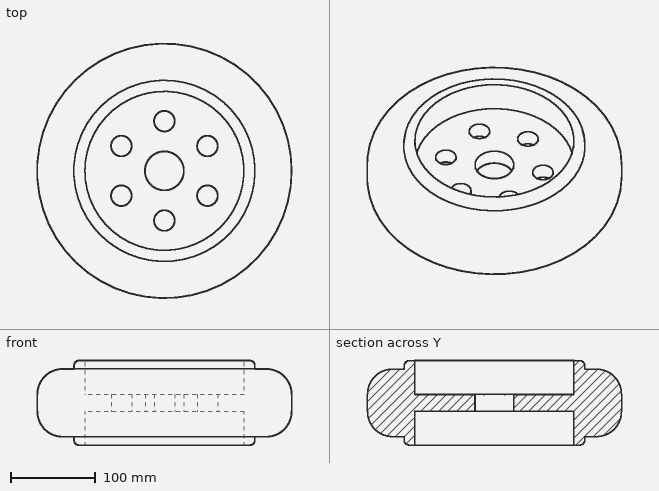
import cadquery as cq

tyre_diameter = 300.0
tyre_width = 80.0
tyre_shoulder_radius = 30.0

rim_diameter = 213.3
rim_width = 100.0
rim_edge_radius = 6.0
rim_inner_diameter = 187.2

web_thickness = 20.0
bore_diameter = 45.5
bolt_hole_diameter = 24.0
bolt_circle_diameter = 117.0
bolt_hole_count = 6
first_bolt_angle = 90.0

recess_depth = (rim_width - web_thickness) / 2


def centred_disc(diameter, width, edge_radius):
    """Disc on the Z axis, centred on the origin, with rounded rims."""
    disc = cq.Workplane("XY").cylinder(width, diameter / 2)
    return disc.edges("%CIRCLE").fillet(edge_radius)


def make_body():
    tyre = centred_disc(tyre_diameter, tyre_width, tyre_shoulder_radius)
    rim = centred_disc(rim_diameter, rim_width, rim_edge_radius)
    return tyre.union(rim)


def cut_recesses(body):
    """Hollow the rim from both faces, leaving the central web."""
    for face in (">Z", "<Z"):
        body = body.faces(face).workplane(origin=(0, 0, 0)).hole(rim_inner_diameter, recess_depth)
    return body


def cut_web_holes(body):
    bore = cq.Workplane("XY").cylinder(web_thickness, bore_diameter / 2)
    bolt_holes = (
        cq.Workplane("XY")
        .polarArray(bolt_circle_diameter / 2, first_bolt_angle, 360, bolt_hole_count)
        .cylinder(web_thickness, bolt_hole_diameter / 2)
    )
    return body.cut(bore).cut(bolt_holes)


result = cut_web_holes(cut_recesses(make_body()))